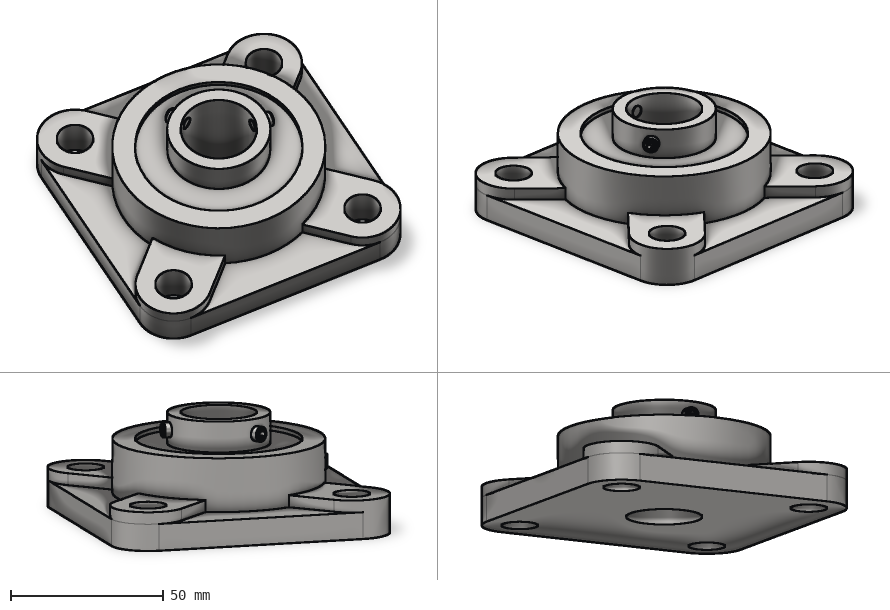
import cadquery as cq
import math

flange_side = 95.0
flange_thickness = 9.0
hole_spacing = 70.0
hole_diameter = 12.0
corner_radius = (flange_side - hole_spacing) / 2

lug_height = 13.0
lug_width = 2 * corner_radius
lug_reach = hole_spacing / math.sqrt(2)
lug_angles = (45.0, 135.0, 225.0, 315.0)

housing_diameter = 70.0
housing_height = 27.0
recess_diameter = 55.0
recess_depth = 1.5

ring_diameter = 33.9
ring_height = 35.8
bore_diameter = 25.0

screw_diameter = 5.0
screw_angles = (90.0, 210.0)
screw_center_height = 30.8
screw_tip_diameter = 4.0
screw_tip_setback = 0.1
screw_tip_radius = bore_diameter / 2 + screw_tip_setback
screw_outer_radius = 19.5
screw_chamfer = 0.5
socket_across_flats = 2.5
socket_depth = 3.0
socket_turn = 30.0


def make_flange():
    """Rounded square plate standing on Z = 0."""
    plate = cq.Workplane("XY").rect(flange_side, flange_side).extrude(flange_thickness)
    return plate.edges("|Z").fillet(corner_radius)


def make_lug(angle):
    """Round-ended pad from the axis to one mounting hole, above the flange."""
    pad = (
        cq.Workplane("XY", origin=(0, 0, flange_thickness))
        .moveTo(0, -lug_width / 2)
        .lineTo(lug_reach, -lug_width / 2)
        .threePointArc((lug_reach + lug_width / 2, 0), (lug_reach, lug_width / 2))
        .lineTo(0, lug_width / 2)
        .close()
        .extrude(lug_height - flange_thickness)
    )
    return pad.rotate((0, 0, 0), (0, 0, 1), angle)


def make_mounting_holes():
    """Four through holes, concentric with the flange corners."""
    return (
        cq.Workplane("XY")
        .rect(hole_spacing, hole_spacing, forConstruction=True)
        .vertices()
        .circle(hole_diameter / 2)
        .extrude(lug_height)
    )


def make_housing():
    """Round housing with the recess that exposes the bearing."""
    housing = cq.Workplane("XY").circle(housing_diameter / 2).extrude(housing_height)
    return housing.faces(">Z").workplane().hole(recess_diameter, recess_depth)


def make_screw(angle):
    """Socket set screw lying along a radius of the inner ring."""
    screw = (
        cq.Workplane("YZ", origin=(screw_tip_radius, 0, screw_center_height))
        .circle(screw_diameter / 2)
        .extrude(screw_outer_radius - screw_tip_radius)
        .faces(">X")
        .chamfer(screw_chamfer)
    )
    return screw.rotate((0, 0, 0), (0, 0, 1), angle)


def make_screw_socket(angle):
    """Hexagonal wrench socket in the outer end of one set screw."""
    socket_across_corners = socket_across_flats / math.cos(math.pi / 6)
    socket = (
        cq.Workplane("YZ", origin=(screw_outer_radius, 0, screw_center_height))
        .transformed(rotate=(0, 0, socket_turn))
        .polygon(6, socket_across_corners)
        .extrude(-socket_depth)
    )
    return socket.rotate((0, 0, 0), (0, 0, 1), angle)


def make_screw_tip_opening(angle):
    """Shallow round opening in the bore wall, down to the tip of one set screw."""
    opening = (
        cq.Workplane("YZ", origin=(0, 0, screw_center_height))
        .circle(screw_tip_diameter / 2)
        .extrude(screw_tip_radius)
    )
    return opening.rotate((0, 0, 0), (0, 0, 1), angle)


body = make_flange()
for lug_angle in lug_angles:
    body = body.union(make_lug(lug_angle))
body = body.cut(make_mounting_holes())
body = body.union(make_housing())

bearing_bore = cq.Workplane("XY").circle(bore_diameter / 2).extrude(ring_height)
inner_ring = cq.Workplane("XY").circle(ring_diameter / 2).extrude(ring_height)
body = body.union(inner_ring)
body = body.cut(bearing_bore)

for screw_angle in screw_angles:
    body = body.union(make_screw(screw_angle))
    body = body.cut(make_screw_socket(screw_angle))
    body = body.cut(make_screw_tip_opening(screw_angle))

result = body